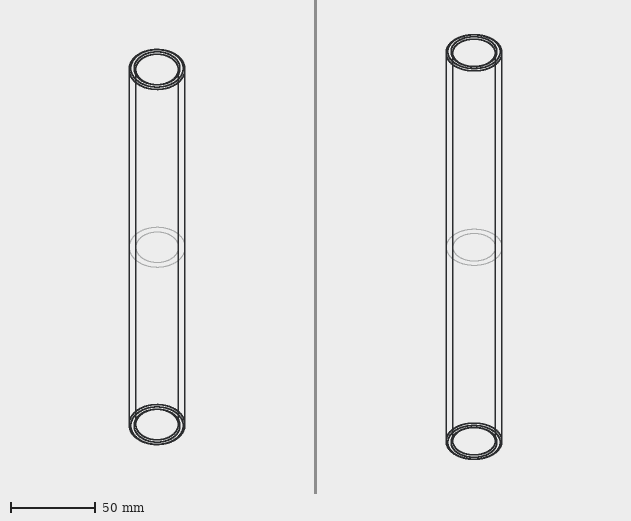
import cadquery as cq

length = 304.8
outer_diameter = 33.2
bore_diameter = 25.3
edge_chamfer = 1.0

tube = (
    cq.Workplane("XY")
    .circle(outer_diameter / 2)
    .circle(bore_diameter / 2)
    .extrude(length / 2, both=True)
)

result = tube.faces("<Z or >Z").edges().chamfer(edge_chamfer)